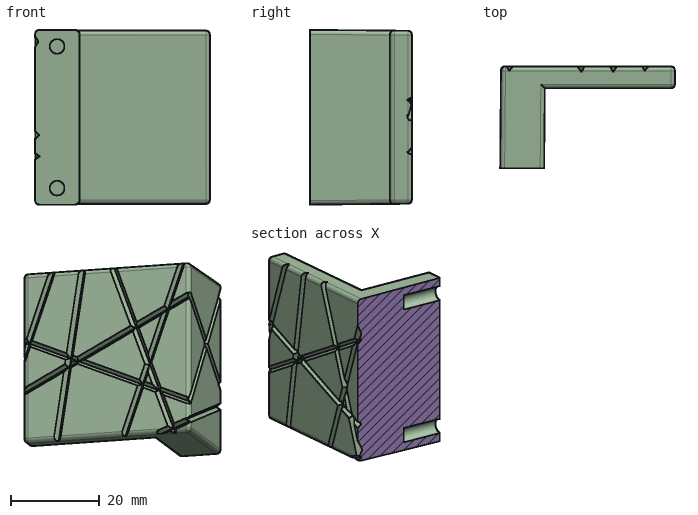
import cadquery as cq
import math

length = 39.5
depth = 23.03
height = 39.5

arm_width = 10.0
plate_thickness = 5.0
draft_angle = 0.5
edge_radius = 1.0

hole_diameter = 3.3
hole_depth = 10.0
hole_spacing = 32.0

groove_width = 1.42
groove_depth = 1.03
wide_groove_width = 1.58
shallow_groove_depth = 0.75
medium_groove_depth = 0.9
deep_groove_depth = 1.25

upper_turn_z = 12.15
middle_turn_z = -12.75
lower_turn_z = -16.9

side_grooves = [
    (upper_turn_z, -4.03, wide_groove_width, medium_groove_depth),
    (middle_turn_z, 17.1, wide_groove_width, shallow_groove_depth),
    (lower_turn_z, -8.8, groove_width, groove_depth),
]

top_z = height / 2
bottom_z = -height / 2
back_grooves = [
    ((2.0, top_z), (15.8, bottom_z), groove_width, groove_depth),
    ((18.45, top_z), (3.95, bottom_z), wide_groove_width, deep_groove_depth),
    ((25.5, top_z), (31.6, bottom_z), wide_groove_width, deep_groove_depth),
    ((32.6, top_z), (length, 0), groove_width, groove_depth),
    ((0, upper_turn_z), (length, -7.9), groove_width, groove_depth),
    ((0, middle_turn_z), (length, 3.95), groove_width, groove_depth),
    ((0, lower_turn_z), (7.9, bottom_z), groove_width, groove_depth),
]

draft_slope = math.tan(math.radians(draft_angle))
draft_shift = depth * draft_slope
arm_root_x = arm_width + (depth - plate_thickness) * draft_slope


def make_bracket():
    """L-shaped block: the arm leans toward -X, and top and bottom spread toward the arm end."""
    outline = [
        (draft_shift, 0),
        (length, 0),
        (length, -plate_thickness),
        (arm_root_x, -plate_thickness),
        (arm_width, -depth),
        (0, -depth),
    ]
    block = cq.Workplane("XY").polyline(outline).close().extrude(height / 2, both=True)
    back_half_height = height / 2 - draft_shift
    taper = [
        (0, back_half_height),
        (-depth, height / 2),
        (-depth, -height / 2),
        (0, -back_half_height),
    ]
    envelope = cq.Workplane("YZ").polyline(taper).close().extrude(length)
    return block.intersect(envelope)


def round_edges(body):
    """Round every edge except those of the arm's end face and the inner corner."""
    end_edges = body.faces("<Y").edges().vals()
    corner_point = (arm_root_x, -plate_thickness, 0)
    inner_corner = body.edges("|Z").edges(cq.NearestToPointSelector(corner_point)).vals()
    sharp = end_edges + inner_corner
    rounded = [edge for edge in body.edges().vals() if not any(edge.isSame(other) for other in sharp)]
    return body.newObject(rounded).fillet(edge_radius)


def cut_groove(body, start, end, outward, width, depth_in):
    """Cut a straight V groove between two points on a face with the given outward normal.

    The groove runs on by one width past both points. The V is as deep as depth_in and as wide as
    width at the face, and the cutter rises to twice its height so it clears the face.
    """
    run = (end - start).normalized()
    plane = cq.Plane(origin=start - run * width, xDir=outward.cross(run), normal=run)
    profile = [(0, -depth_in), (width, depth_in), (-width, depth_in)]
    span = (end - start).Length + 2 * width
    cutter = cq.Workplane(plane).polyline(profile).close().extrude(span)
    return body.cut(cutter)


def make_holes():
    """Two blind holes drilled into the arm's end face."""
    return (
        cq.Workplane("XZ", origin=(arm_width / 2, -depth, 0))
        .pushPoints([(0, hole_spacing / 2), (0, -hole_spacing / 2)])
        .circle(hole_diameter / 2)
        .extrude(-hole_depth)
    )


body = round_edges(make_bracket()).cut(make_holes())

side_normal = cq.Vector(-1, -draft_slope, 0).normalized()
for back_z, end_z, width, depth_in in side_grooves:
    start = cq.Vector(draft_shift, 0, back_z)
    end = cq.Vector(0, -depth, end_z)
    body = cut_groove(body, start, end, side_normal, width, depth_in)

back_normal = cq.Vector(0, 1, 0)
for (x1, z1), (x2, z2), width, depth_in in back_grooves:
    start = cq.Vector(x1, 0, z1)
    end = cq.Vector(x2, 0, z2)
    body = cut_groove(body, start, end, back_normal, width, depth_in)

result = body